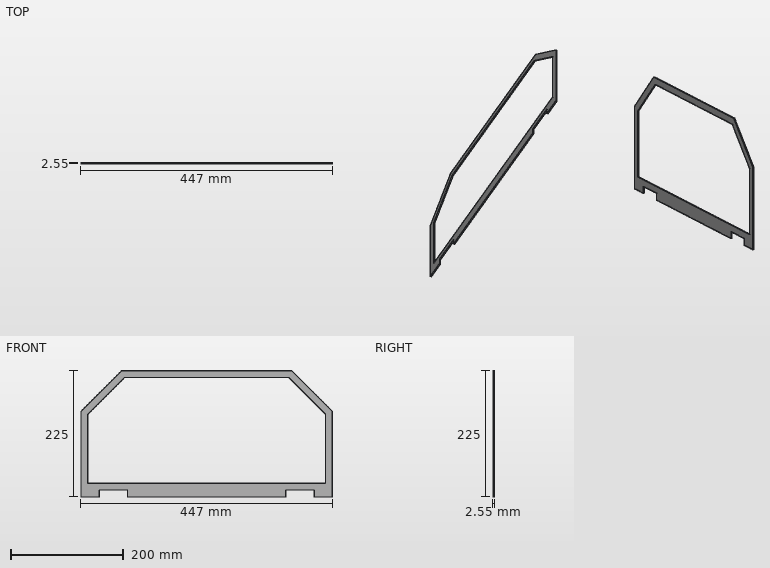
import math

import cadquery as cq

width = 447.0
thickness = 2.55
height = 225.0

border = 12.5
corner_cut = 72.5

notch_depth = 12.5
notch_width = 50.0
notch_offset = 32.5

sill_height = notch_depth + border
window_width = width - 2 * border
window_height = height - border - sill_height
window_corner_cut = corner_cut - border * (2 - math.sqrt(2))


def upright_block(block_width, block_height, bottom=0):
    """Block of full thickness, centred on X and Y, standing at the given height."""
    block = cq.Workplane("XY").box(block_width, thickness, block_height, centered=(True, True, False))
    return block.translate((0, 0, bottom))


def cut_upper_corners(block, cut):
    """Cut the two upper corners of an upright block at 45 degrees."""
    return block.edges("|Y and >Z").chamfer(cut)


outer_plate = cut_upper_corners(upright_block(width, height), corner_cut)
window = cut_upper_corners(upright_block(window_width, window_height, sill_height), window_corner_cut)
result = outer_plate.cut(window)

notch_center = width / 2 - notch_offset - notch_width / 2
for side in (-1, 1):
    notch = upright_block(notch_width, notch_depth)
    result = result.cut(notch.translate((side * notch_center, 0, 0)))